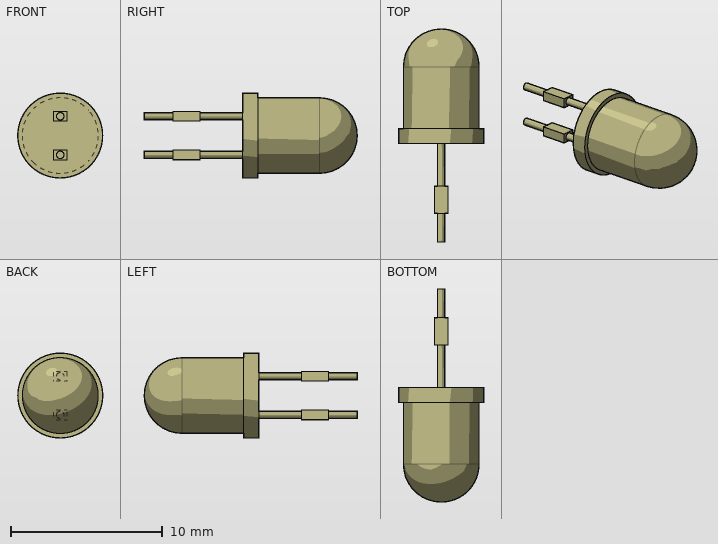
import cadquery as cq

total_length = 14.05
flange_diameter = 5.6
flange_thickness = 1.0
lens_diameter = 5.0
lens_radius = lens_diameter / 2
lead_length = 6.49
barrel_length = total_length - lead_length - flange_thickness - lens_radius

lead_spacing = 2.55
lead_diameter = 0.49
block_offset = 2.8
block_length = 1.8
block_width = 0.9
block_height = 0.65


def make_housing():
    """Revolve the flange, barrel and dome; the flange face lies at Y = 0."""
    flange_radius = flange_diameter / 2
    barrel_end = flange_thickness + barrel_length
    dome_top = barrel_end + lens_radius
    arc_middle = lens_radius * 0.5 ** 0.5
    return (
        cq.Workplane("XY")
        .lineTo(flange_radius, 0)
        .lineTo(flange_radius, flange_thickness)
        .lineTo(lens_radius, flange_thickness)
        .lineTo(lens_radius, barrel_end)
        .threePointArc((arc_middle, barrel_end + arc_middle), (0, dome_top))
        .close()
        .revolve(360, (0, 0), (0, 1))
    )


def make_lead(center_z):
    """Round wire running from the flange face towards -Y, with its stop block."""
    wire = cq.Workplane("XZ").center(0, center_z).circle(lead_diameter / 2).extrude(lead_length)
    block = (
        cq.Workplane("XZ", origin=(0, -block_offset, 0))
        .center(0, center_z)
        .rect(block_width, block_height)
        .extrude(block_length)
    )
    return wire.union(block)


housing = make_housing()
leads = [make_lead(side * lead_spacing / 2) for side in (-1, 1)]

result = cq.Compound.makeCompound([housing.val(), *[lead.solids().val() for lead in leads]])